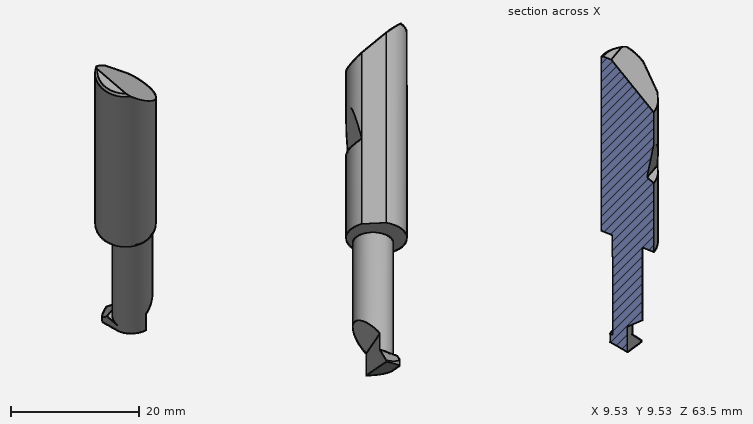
import cadquery as cq
import math


shank_diameter = 9.525
shank_radius = shank_diameter / 2
overall_length = 63.5
neck_length = 25.4
shank_length = overall_length - neck_length

end_chamfer = 0.37

bevel_start_y = -2.92

flat_direction = 155.0
flat_half_angle = 23.8
flat_distance = shank_radius * math.cos(math.radians(flat_half_angle))

notch_depth = shank_diameter / 8
notch_bottom_z = 41.1
notch_ramp_length = 7.5
notch_shoulder_drop = 0.65

neck_diameter = 6.35
neck_radius = neck_diameter / 2
neck_x = shank_radius - neck_radius
rake_runout_z = 6.9

tip_x = -4.37
tip_height = 3.9
flank_angle = 38.0
flank_relief = 10.5
end_edge_angle = 17.5
end_relief = 11.0
nose_radius = 8.0
nose_relief = 23.0

trim_size = 4 * shank_diameter


def yz_prism(points):
    """Prism along X through the whole width of the part, from (y, z) points."""
    return cq.Workplane("YZ").polyline(points).close().extrude(trim_size / 2, both=True)


def make_shank():
    """Round shank with its end chamfer, side flat, end bevel and clamping notch."""
    shank = (
        cq.Workplane("XY")
        .workplane(offset=neck_length)
        .circle(shank_radius)
        .extrude(shank_length)
        .faces(">Z")
        .edges()
        .chamfer(end_chamfer)
    )
    return shank.cut(side_flat()).cut(end_bevel()).cut(clamping_notch())


def side_flat():
    """Block beyond the flat on the -X, +Y side of the shank."""
    return (
        cq.Workplane("XY")
        .box(trim_size, trim_size, shank_length, centered=(False, True, False))
        .translate((flat_distance, 0, neck_length))
        .rotate((0, 0, 0), (0, 0, 1), flat_direction)
    )


def end_bevel():
    """Wedge that slopes the shank end down towards +Y."""
    return yz_prism([
        (bevel_start_y, overall_length),
        (bevel_start_y + trim_size, overall_length),
        (bevel_start_y + trim_size, overall_length - trim_size),
    ])


def clamping_notch():
    """V-shaped notch across the shank: a long ramp above and a short shoulder below."""
    bottom_y = shank_radius - notch_depth
    return yz_prism([
        (bottom_y, notch_bottom_z),
        (shank_radius, notch_bottom_z + notch_ramp_length),
        (shank_radius, notch_bottom_z - notch_shoulder_drop),
    ])


def make_neck():
    """Round neck, halved down to the rake face near the tip with a 45 degree run-out."""
    neck = (
        cq.Workplane("XY")
        .center(neck_x, 0)
        .circle(neck_radius)
        .extrude(neck_length)
    )
    rake_cut = yz_prism([
        (0, 0),
        (0, rake_runout_z),
        (neck_diameter, rake_runout_z + neck_diameter),
        (neck_diameter, 0),
    ])
    return neck.cut(rake_cut)


def relief_block(edge_point, edge_angle, relief_angle):
    """Block below a cutting edge on y = 0, its top tilted so that relief grows towards -Y."""
    edge_x, edge_z = edge_point
    return (
        cq.Workplane("XY")
        .box(trim_size, trim_size, trim_size, centered=(True, True, False))
        .translate((0, 0, -trim_size))
        .rotate((0, 0, 0), (1, 0, 0), -relief_angle)
        .rotate((0, 0, 0), (0, 1, 0), -edge_angle)
        .translate((edge_x, 0, edge_z))
    )


def nose_cylinder():
    """Upright cylinder through the tip whose -X side forms the curved nose relief."""
    relief = math.radians(nose_relief)
    return (
        cq.Workplane("XY")
        .center(tip_x + nose_radius * math.cos(relief), nose_radius * math.sin(relief))
        .circle(nose_radius)
        .extrude(tip_height)
    )


def add_tip(neck):
    """Widen the neck end to a flat-fronted block, then grind the cutting edges."""
    block = (
        cq.Workplane("XY")
        .box(neck_x - tip_x, neck_radius, tip_height, centered=False)
        .translate((tip_x, -neck_radius, 0))
    )
    tip_zone = cq.Workplane("XY").box(trim_size, trim_size, tip_height, centered=(True, True, False))
    flank_start = (neck_x - neck_radius, tip_height)
    flank = relief_block(flank_start, -90 - flank_angle, flank_relief).intersect(tip_zone)
    end = relief_block((tip_x, 0), end_edge_angle, end_relief)
    nose_waste = block.cut(nose_cylinder())
    return neck.union(block).cut(nose_waste).cut(flank).cut(end)


result = make_shank().union(add_tip(make_neck()))